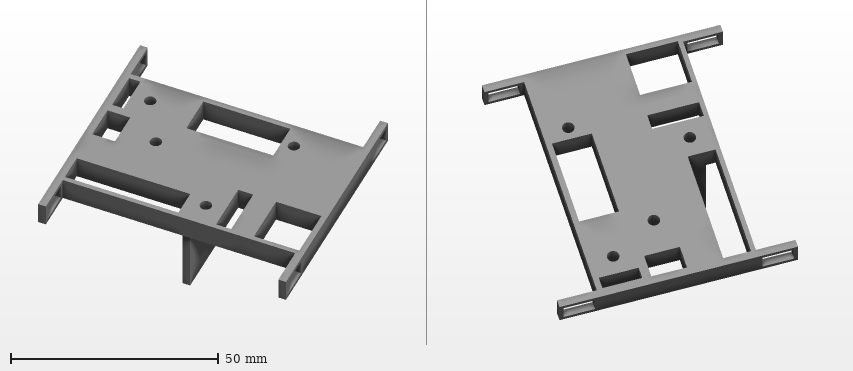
import cadquery as cq

total_length = 65.5
rail_length = 60.0
rail_width = 2.0
thickness = 6.0
plate_depth = 40.0
plate_front = (rail_length - plate_depth) / 2

slot_length = 8.0
slot_height = 4.0
slot_end_margin = 1.0

fin_thickness = 2.0
fin_depth = 20.0
fin_height = 20.0
fin_left = 32.0
fin_front = 13.6

front_row = 11.2
back_row = 38.5
back_window_depth = 10.0
front_window_depth = 13.05
windows = [
    (2.2, back_row, 3.0, back_window_depth),
    (21.9, back_row, 23.0, back_window_depth),
    (rail_width, 27.3, 6.0, 9.0),
    (rail_width, front_row, 30.0, 7.0),
    (42.0, front_row, 4.0, front_window_depth),
    (52.0, front_row, 12.0, front_window_depth),
]

hole_diameter = 3.0
back_hole_y = 43.5
hole_centres = [
    (10.1, back_hole_y),
    (48.1, back_hole_y),
    (17.1, 31.2),
    (37.1, 16.2),
]


def block(left, front, bottom, width, depth, height):
    """Box placed by its left, front, bottom corner."""
    return cq.Workplane("XY").box(width, depth, height, centered=False).translate((left, front, bottom))


result = block(0, plate_front, 0, total_length, plate_depth, thickness)
for rail_left in (0, total_length - rail_width):
    result = result.union(block(rail_left, 0, 0, rail_width, rail_length, thickness))

result = result.union(block(fin_left, fin_front, -fin_height, fin_thickness, fin_depth, fin_height))

for left, front, width, depth in windows:
    result = result.cut(block(left, front, 0, width, depth, thickness))

holes = cq.Workplane("XY").pushPoints(hole_centres).circle(hole_diameter / 2).extrude(thickness)
result = result.cut(holes)

slot_bottom = (thickness - slot_height) / 2
for slot_front in (slot_end_margin, rail_length - slot_end_margin - slot_length):
    result = result.cut(block(0, slot_front, slot_bottom, total_length, slot_length, slot_height))